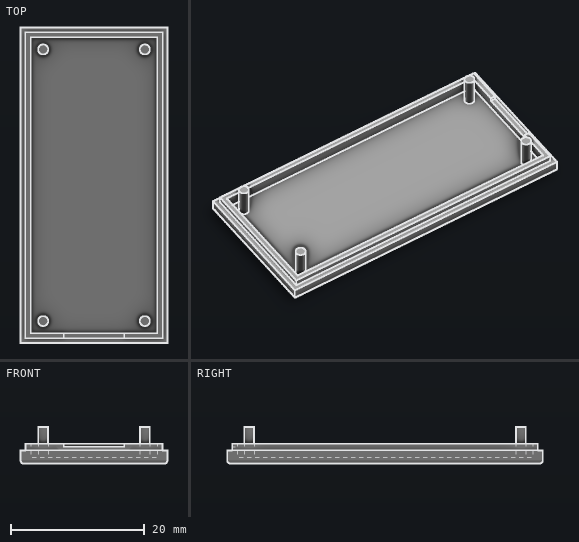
import cadquery as cq

width = 22.0
length = 47.2
plate_height = 2.0
bottom_rounding = 0.5

lip_inset = 0.75
wall = 0.75
lip_top = 3.0
floor_height = 1.0

notch_width = 9.0
notch_depth = 0.5

pin_diameter = 1.5
pin_top = 5.5
pin_spacing_x = 15.2
pin_spacing_y = 40.6

lip_width = width - 2 * lip_inset
lip_length = length - 2 * lip_inset
cavity_width = lip_width - 2 * wall
cavity_length = lip_length - 2 * wall


def block(size_x, size_y, bottom, top):
    """Box centred on the Z axis between two heights."""
    return cq.Workplane("XY").workplane(offset=bottom).rect(size_x, size_y).extrude(top - bottom)


def make_tray():
    """Plate with a rounded bottom edge and a stepped lip, hollowed down to the floor."""
    plate = block(width, length, 0, plate_height).faces("<Z").edges().fillet(bottom_rounding)
    lip = block(lip_width, lip_length, 0.5 * plate_height, lip_top)
    cavity = block(cavity_width, cavity_length, floor_height, lip_top)
    return plate.union(lip).cut(cavity)


def make_notch():
    """Cutter that lowers the middle of the -Y lip wall."""
    wall_centre = -(lip_length - wall) / 2
    return block(notch_width, wall, lip_top - notch_depth, lip_top).translate((0, wall_centre, 0))


def make_pins():
    """Four pins standing on the cavity floor, sunk into it so they join the tray."""
    pin_base = floor_height / 2
    return (
        cq.Workplane("XY")
        .workplane(offset=pin_base)
        .rect(pin_spacing_x, pin_spacing_y, forConstruction=True)
        .vertices()
        .circle(pin_diameter / 2)
        .extrude(pin_top - pin_base)
    )


result = make_tray().cut(make_notch()).union(make_pins())